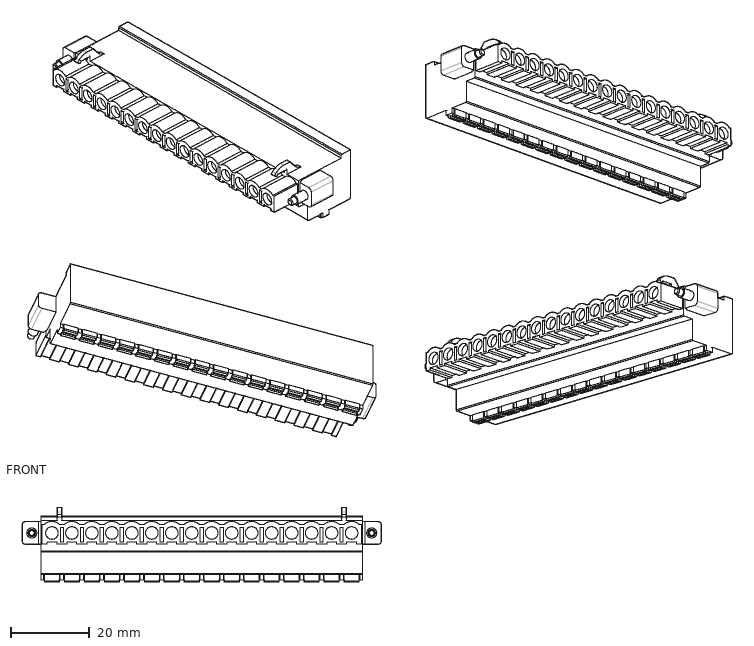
import cadquery as cq
POLES = 16
POLE_SPAN = 76.3
PITCH = POLE_SPAN / (POLES - 1)
POLE_X = [i * PITCH - POLE_SPAN / 2 for i in range(POLES)]
OVERALL_LENGTH = 91.4
EDGE_CHAMFER = 0.3
OVERLAP = 0.5

BODY_LENGTH = 81.9
BODY_DEPTH = 18.4
BODY_HEIGHT = 13.8
STEP_DEPTH = 3.3
STEP_HEIGHT = 5.8
RIDGE_DEPTH = 3.3
RIDGE_HEIGHT = 14.9

AXIS_Z = 10.6
ROW_LENGTH = POLES * PITCH
SOCKET_LENGTH = 8.2
SOCKET_BOTTOM = 7.8
SOCKET_RADIUS = 2.9
SOCKET_HOLE_DIAMETER = 3.2
SOCKET_HOLE_DEPTH = 1.4
VALLEY_Z = 12.7
SLOT_WIDTH = 0.8
SLOT_TOP = 12.0
RELIEF_WIDTH = 2.5
RELIEF_HEIGHT = 0.55

EAR_DEPTH = 7.7
EAR_BOTTOM = 7.7
EAR_TOP = 13.5
EAR_FILLET = 0.9
EAR_NOTCH_WIDTH = 0.55
EAR_NOTCH_DEPTH = 1.4
SCREW_X = 43.25
SCREW_DIAMETER = 2.6
SCREW_LENGTH = 3.5
TIP_DIAMETER = 1.8
TIP_LENGTH = 1.7

LATCH_X = 36.2
LATCH_WIDTH = 1.2
LATCH_TOP = 17.1

PAD_Y = 9.7
PAD_LENGTH = 4.4
PAD_DEPTH = 2.6
PAD_HEIGHT = 1.4
FILLER_DEPTH = 2.2
FOOT_GROOVE = 0.7
FOOT_BOTTOM = 1.9


def box(x_range, y_range, z_range):
    """Axis-aligned block between the given limits."""
    (x0, x1), (y0, y1), (z0, z1) = x_range, y_range, z_range
    return cq.Workplane("XY").box(x1 - x0, y1 - y0, z1 - z0, centered=False).translate((x0, y0, z0))


def centered(middle, size):
    """Limits of a span of the given size around its middle."""
    return (middle - size / 2, middle + size / 2)


def forward_rod(x, diameter, y_start, length):
    """Cylinder on the socket axis height, running toward -Y from y_start."""
    plane = cq.Workplane("XZ", origin=(x, y_start, AXIS_Z))
    return plane.circle(diameter / 2).extrude(length)


def make_housing():
    """Stepped bar with a raised ridge along its rear top edge."""
    c = EDGE_CHAMFER
    ridge_front = BODY_DEPTH - RIDGE_DEPTH
    outline = [
        (0, BODY_HEIGHT),
        (ridge_front, BODY_HEIGHT),
        (ridge_front, RIDGE_HEIGHT - c),
        (ridge_front + c, RIDGE_HEIGHT),
        (BODY_DEPTH, RIDGE_HEIGHT),
        (BODY_DEPTH, c),
        (BODY_DEPTH - c, 0),
        (STEP_DEPTH + c, 0),
        (STEP_DEPTH, c),
        (STEP_DEPTH, STEP_HEIGHT),
        (c, STEP_HEIGHT),
        (0, STEP_HEIGHT + c),
    ]
    return cq.Workplane("YZ").polyline(outline).close().extrude(BODY_LENGTH / 2, both=True)


def make_sockets():
    """Row of round-topped sockets with slots between them and relieved undersides."""
    along_y = (-SOCKET_LENGTH, OVERLAP)
    in_front = (-SOCKET_LENGTH, 0)
    relief_top = SOCKET_BOTTOM + RELIEF_HEIGHT
    hole_floor = SOCKET_HOLE_DEPTH - SOCKET_LENGTH
    row_limits = centered(0, ROW_LENGTH)
    row = box(row_limits, along_y, (SOCKET_BOTTOM, VALLEY_Z))
    for x in POLE_X:
        crown = forward_rod(x, 2 * SOCKET_RADIUS, OVERLAP, SOCKET_LENGTH + OVERLAP)
        row = row.union(crown.intersect(box(row_limits, along_y, (AXIS_Z, BODY_HEIGHT))))
    for x in POLE_X:
        row = row.cut(forward_rod(x, SOCKET_HOLE_DIAMETER, hole_floor, SOCKET_HOLE_DEPTH))
        row = row.cut(box(centered(x, RELIEF_WIDTH), in_front, (SOCKET_BOTTOM, relief_top)))
    for x in POLE_X[:-1]:
        row = row.cut(box(centered(x + PITCH / 2, SLOT_WIDTH), in_front, (relief_top, SLOT_TOP)))
    return row


def make_right_ear():
    """Screw ear on the +X end, with its screw."""
    body_end = BODY_LENGTH / 2
    ear = box((body_end - OVERLAP, OVERALL_LENGTH / 2), (0, EAR_DEPTH), (EAR_BOTTOM, EAR_TOP))
    ear = ear.edges("|Y and >X").fillet(EAR_FILLET)
    notch = (
        cq.Workplane("XY", origin=(0, 0, EAR_BOTTOM))
        .polyline([(body_end, 0), (body_end + EAR_NOTCH_WIDTH, 0), (body_end, EAR_NOTCH_DEPTH)])
        .close()
        .extrude(EAR_TOP - EAR_BOTTOM)
    )
    screw = forward_rod(SCREW_X, SCREW_DIAMETER, OVERLAP, SCREW_LENGTH + OVERLAP)
    tip = forward_rod(SCREW_X, TIP_DIAMETER, -SCREW_LENGTH, TIP_LENGTH)
    tip = tip.faces("<Y").chamfer(EDGE_CHAMFER)
    return ear.cut(notch).union(screw).union(tip)


def make_latch():
    """Forward-reaching hook on top of the housing."""
    return (
        cq.Workplane("YZ", origin=(LATCH_X, 0, 0))
        .moveTo(0, BODY_HEIGHT - OVERLAP)
        .lineTo(4.9, BODY_HEIGHT - OVERLAP)
        .lineTo(4.9, BODY_HEIGHT)
        .lineTo(3.5, 14.4)
        .lineTo(1.1, LATCH_TOP)
        .lineTo(-1.2, LATCH_TOP)
        .threePointArc((-2.7, 16.7), (-3.9, 15.9))
        .lineTo(-4.5, 15.3)
        .lineTo(-3.6, 14.7)
        .lineTo(-3.2, 15.3)
        .lineTo(0, 15.3)
        .close()
        .extrude(LATCH_WIDTH / 2, both=True)
    )


def make_pads():
    """Narrow strip under the housing with a wider, two-footed pad below each pole."""
    strip_z = (-PAD_HEIGHT, OVERLAP)
    pads = box(centered(0, BODY_LENGTH), centered(PAD_Y, FILLER_DEPTH), strip_z)
    for x in POLE_X:
        pad = box(centered(x, PAD_LENGTH), centered(PAD_Y, PAD_DEPTH), strip_z)
        pad = pad.edges("|Z").chamfer(EDGE_CHAMFER)
        foot_limits = centered(x, PAD_LENGTH - 2 * EDGE_CHAMFER)
        feet = box(foot_limits, centered(PAD_Y, PAD_DEPTH), (-FOOT_BOTTOM, 0))
        feet = feet.faces("<Z").edges("|X").chamfer(EDGE_CHAMFER)
        groove = box(foot_limits, centered(PAD_Y, FOOT_GROOVE), (-FOOT_BOTTOM, -PAD_HEIGHT))
        pads = pads.union(pad).union(feet.cut(groove))
    return pads


result = make_housing().union(make_sockets()).union(make_pads())
for end_feature in (make_right_ear(), make_latch()):
    result = result.union(end_feature).union(end_feature.mirror("YZ"))